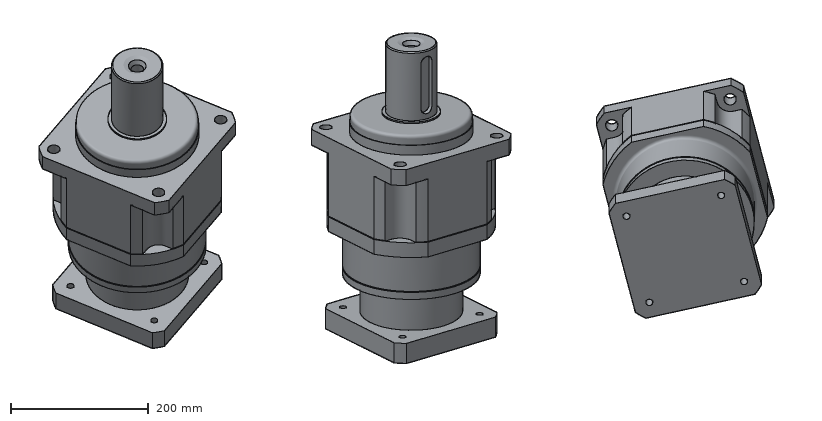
import cadquery as cq
import math

motor_plate_top = 32.0
neck_top = 91.0
ring_joint = 102.5
band_bottom = 166.0
band_top = 189.5
flange_bottom = 288.7
flange_top = 313.5
pilot_step = 329.0
pilot_top = 343.5
collar_top = 346.0
shaft_top = 454.0

motor_plate_side = 189.0
motor_plate_corner_radius = 125.0
motor_hole_diameter = 10.0
motor_hole_offset = 71.0

neck_radius = 75.0
ring_radius = 100.5
ring_fillet = 5.0
ring_joint_width = 1.5
joint_depth = 0.5

body_side = 220.0
body_corner_radius = 122.5
body_joint_width = 1.0
pocket_wall = 69.0
pocket_radius = 20.0

flange_corner_radius = 145.5
flange_hole_diameter = 17.5
flange_hole_offset = 88.5

pilot_radius = 90.0
pilot_lead_radius = 89.0
pilot_fillet = 5.0
collar_radius = 42.5

shaft_radius = 75.0 / 2
shaft_chamfer = 2.0
key_width = 20.0
key_depth = 7.5
key_bottom = 354.0
key_top = 444.0
countersink_radius = 19.5
countersink_depth = 2.05
taper_radius = 12.5
taper_depth = 8.5
tap_radius = 9.0
tap_depth = 45.5
drill_point_angle = 120.0


def cylinder(radius, bottom, top):
    return cq.Workplane("XY").workplane(offset=bottom).circle(radius).extrude(top - bottom)


def square_block(side, bottom, top):
    return cq.Workplane("XY").workplane(offset=bottom).rect(side, side).extrude(top - bottom)


def round_cornered_block(side, corner_radius, bottom, top):
    """Square block whose corners are turned down to a circle about the axis."""
    return square_block(side, bottom, top).intersect(cylinder(corner_radius, bottom, top))


def corner_holes(offset, diameter, bottom, top):
    """Four vertical drill bodies at the corners of a square pattern."""
    return (
        cq.Workplane("XY").workplane(offset=bottom)
        .rect(2 * offset, 2 * offset, forConstruction=True).vertices()
        .circle(diameter / 2).extrude(top - bottom)
    )


def make_motor_plate():
    plate = round_cornered_block(motor_plate_side, motor_plate_corner_radius, 0, motor_plate_top)
    return plate.cut(corner_holes(motor_hole_offset, motor_hole_diameter, 0, motor_plate_top))


def make_ring():
    """Gear ring with a shallow joint groove and a concave fillet where it meets the body."""
    top_radius = ring_radius + ring_fillet
    arc_middle = ring_fillet * (1 - math.sqrt(0.5))
    profile = (
        cq.Workplane("XZ")
        .moveTo(0, neck_top)
        .lineTo(ring_radius, neck_top)
        .lineTo(ring_radius, band_bottom - ring_fillet)
        .threePointArc((ring_radius + arc_middle, band_bottom - arc_middle), (top_radius, band_bottom))
        .lineTo(0, band_bottom)
        .close()
    )
    ring = profile.revolve(360, (0, 0, 0), (0, 1, 0))
    low = ring_joint - ring_joint_width / 2
    high = ring_joint + ring_joint_width / 2
    groove = cylinder(ring_radius, low, high).cut(cylinder(ring_radius - joint_depth, low, high))
    return ring.cut(groove)


def make_body():
    """Round-cornered body with four corner pockets and a shallow joint groove above its bottom band."""
    body = round_cornered_block(body_side, body_corner_radius, band_bottom, flange_bottom)
    pocket_size = body_side / 2
    pocket_height = flange_bottom - band_top
    pocket_centre = pocket_wall + pocket_size / 2
    pockets = (
        cq.Workplane("XY").workplane(offset=band_top)
        .rect(2 * pocket_centre, 2 * pocket_centre, forConstruction=True).vertices()
        .rect(pocket_size, pocket_size).extrude(pocket_height)
        .edges("|Z").fillet(pocket_radius)
    )
    body = body.cut(pockets)
    high = band_top + body_joint_width
    core_side = body_side - 2 * joint_depth
    core = round_cornered_block(core_side, body_corner_radius - joint_depth, band_top, high)
    groove = square_block(body_side, band_top, high).cut(core)
    return body.cut(groove)


def make_flange():
    flange = round_cornered_block(body_side, flange_corner_radius, flange_bottom, flange_top)
    return flange.cut(corner_holes(flange_hole_offset, flange_hole_diameter, flange_bottom, flange_top))


def make_pilot():
    pilot = cylinder(pilot_radius, flange_top, pilot_step)
    lead = cylinder(pilot_lead_radius, pilot_step, pilot_top).faces(">Z").edges().fillet(pilot_fillet)
    collar = cylinder(collar_radius, pilot_top, collar_top)
    return pilot.union(lead).union(collar)


def make_keyway():
    """Round-ended slot sunk into the +Y side of the shaft."""
    return (
        cq.Workplane("XZ", origin=(0, shaft_radius, (key_bottom + key_top) / 2))
        .slot2D(key_top - key_bottom, key_width, 90).extrude(key_depth)
    )


def make_centre_hole():
    """Countersunk hole that tapers to its tapped bore and ends in a conical drill point."""
    drill_point_depth = tap_radius / math.tan(math.radians(drill_point_angle / 2))
    return (
        cq.Workplane("XZ")
        .moveTo(0, shaft_top)
        .lineTo(countersink_radius, shaft_top)
        .lineTo(taper_radius, shaft_top - countersink_depth)
        .lineTo(tap_radius, shaft_top - taper_depth)
        .lineTo(tap_radius, shaft_top - tap_depth)
        .lineTo(0, shaft_top - tap_depth - drill_point_depth)
        .close()
        .revolve(360, (0, 0, 0), (0, 1, 0))
    )


def make_shaft():
    shaft = cylinder(shaft_radius, pilot_top, shaft_top).faces(">Z").edges().chamfer(shaft_chamfer)
    return shaft.cut(make_keyway()).cut(make_centre_hole())


result = (
    make_motor_plate()
    .union(cylinder(neck_radius, motor_plate_top, neck_top))
    .union(make_ring())
    .union(make_body())
    .union(make_flange())
    .union(make_pilot())
    .union(make_shaft())
)